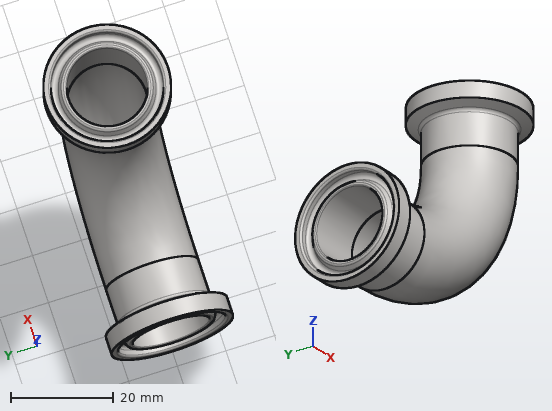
import cadquery as cq
import math

overall = 53.8
half_span = overall / 2

tube_radius = 9.5
bore_radius = 7.9

flange_radius = 12.505
flange_thickness = 3.7
ferrule_length = 12.7
back_taper = math.radians(20)
neck_fillet_radius = 0.8

groove_outer_radius = 11.05
groove_inner_radius = 9.6
rim_round_radius = 0.45
land_depth = 0.65
land_radius = 8.55
land_round_radius = 0.55
bore_round_radius = 0.2
groove_wall_angle = math.radians(60)

axis_offset = half_span - flange_radius
bend_start = ferrule_length - half_span
bend_radius = axis_offset - bend_start


def arc_point(centre, radius, angle):
    """Point on a circle at an angle in radians."""
    return centre[0] + radius * math.cos(angle), centre[1] + radius * math.sin(angle)


def make_ferrule():
    """Revolved clamp ferrule with its open face at Z = 0 and its tube end at +Z."""
    bore_centre = (bore_radius + bore_round_radius, land_depth + bore_round_radius)
    bore_mid = arc_point(bore_centre, bore_round_radius, -3 * math.pi / 4)

    land_centre = (land_radius, land_depth + land_round_radius)
    wall_normal = groove_wall_angle - math.pi / 2
    land_mid = arc_point(land_centre, land_round_radius, (wall_normal - math.pi / 2) / 2)
    wall_top = arc_point(land_centre, land_round_radius, wall_normal)

    floor_radius = (groove_outer_radius - groove_inner_radius) / (1 + math.sin(groove_wall_angle))
    wall_bottom_depth = wall_top[1] + (groove_inner_radius - wall_top[0]) * math.tan(groove_wall_angle)
    floor_centre = (
        groove_outer_radius - floor_radius,
        wall_bottom_depth - floor_radius * math.cos(groove_wall_angle),
    )
    floor_mid = arc_point(floor_centre, floor_radius, math.pi / 2)

    rim_centre = (groove_outer_radius + rim_round_radius, rim_round_radius)
    rim_mid = arc_point(rim_centre, rim_round_radius, -3 * math.pi / 4)

    taper_end = flange_thickness + (flange_radius - tube_radius) * math.tan(back_taper)
    neck_tangent = neck_fillet_radius * math.tan((math.pi / 2 - back_taper) / 2)
    neck_centre = (tube_radius + neck_fillet_radius, taper_end + neck_tangent)
    neck_start_angle = -math.pi / 2 - back_taper
    neck_start = arc_point(neck_centre, neck_fillet_radius, neck_start_angle)
    neck_mid = arc_point(neck_centre, neck_fillet_radius, (neck_start_angle - math.pi) / 2)

    profile = (
        cq.Workplane("XY")
        .moveTo(bore_radius, bore_centre[1])
        .threePointArc(bore_mid, (bore_centre[0], land_depth))
        .lineTo(land_radius, land_depth)
        .threePointArc(land_mid, wall_top)
        .lineTo(groove_inner_radius, wall_bottom_depth)
        .threePointArc(floor_mid, (groove_outer_radius, floor_centre[1]))
        .lineTo(groove_outer_radius, rim_round_radius)
        .threePointArc(rim_mid, (rim_centre[0], 0))
        .lineTo(flange_radius, 0)
        .lineTo(flange_radius, flange_thickness)
        .lineTo(*neck_start)
        .threePointArc(neck_mid, (tube_radius, neck_centre[1]))
        .lineTo(tube_radius, ferrule_length)
        .lineTo(bore_radius, ferrule_length)
        .close()
    )
    return profile.revolve(360, (0, 0, 0), (0, 1, 0)).rotate((0, 0, 0), (1, 0, 0), 90)


def make_elbow():
    """Quarter-turn tube joining the two ferrules."""
    return (
        cq.Workplane("YZ", origin=(bend_start, 0, -axis_offset))
        .circle(tube_radius)
        .circle(bore_radius)
        .revolve(90, (0, bend_radius, 0), (-1, bend_radius, 0))
    )


elbow = make_elbow()

ports = [
    (90, (-half_span, 0, -axis_offset)),
    (180, (axis_offset, 0, half_span)),
]
ferrules = []
for turn, face_centre in ports:
    ferrule = make_ferrule().rotate((0, 0, 0), (0, 1, 0), turn).translate(face_centre)
    ferrules.append(ferrule.val())

result = cq.Compound.makeCompound([elbow.val(), *ferrules])